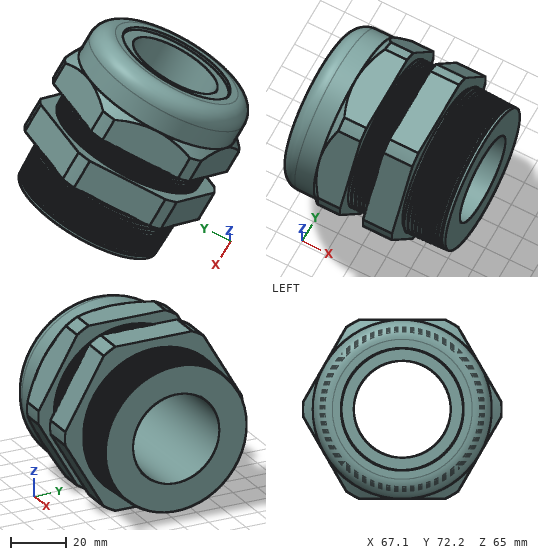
import cadquery as cq
import math


dome_end = 7.1
collar_end = 14.9
cap_end = 27.6
wrench_start = 37.0
wrench_end = 49.0
gland_length = 67.06

across_flats = 65.02
corner_radius = 36.075
collar_radius = across_flats / 2

bore_radius = 17.55
seal_radius = 22.05
seal_pocket_radius = 22.3
seal_recess = 1.0
seal_back = 15.0

thread_pitch = 25.4 / 16
flank_slope = math.tan(math.radians(30))
neck_radius = 28.1

cap_thread_root = 28.85
cap_thread_crest_start = 29.9
cap_thread_crest_end = 29.55
cap_thread_first_groove = 28.25
cap_thread_grooves = 6

entry_thread_root = 28.25
entry_thread_crest_start = 29.4
entry_thread_crest_end = 28.7
entry_thread_first_groove = 51.15
entry_thread_grooves = 10


def revolve_about_x(profile):
    """Revolve a closed (X, radius) profile around the gland axis."""
    return profile.close().revolve(360, (0, 0, 0), (1, 0, 0))


def cylinder(start, end, radius):
    return cq.Workplane("YZ").workplane(offset=start).circle(radius).extrude(end - start)


def hexagon(start, end):
    """Hexagonal prism with flats on top and bottom and turned-down corners."""
    across_corners = across_flats / math.cos(math.pi / 6)
    prism = cq.Workplane("YZ").workplane(offset=start).polygon(6, across_corners).extrude(end - start)
    return prism.intersect(cylinder(start, end, corner_radius))


def dome():
    """Round collar of the cap with a quarter-round front edge."""
    face_radius = collar_radius - dome_end
    arc_offset = dome_end * math.sqrt(0.5)
    profile = (
        cq.Workplane("XY")
        .lineTo(0, face_radius)
        .threePointArc((dome_end - arc_offset, face_radius + arc_offset), (dome_end, collar_radius))
        .lineTo(collar_end, collar_radius)
        .lineTo(collar_end, 0)
    )
    return revolve_about_x(profile)


def cap_hexagon():
    """Hexagon of the cap, its front corners chamfered at 45 degrees from the collar."""
    chamfer_end = collar_end + corner_radius - collar_radius
    envelope = revolve_about_x(
        cq.Workplane("XY")
        .moveTo(collar_end, 0)
        .lineTo(collar_end, collar_radius)
        .lineTo(chamfer_end, corner_radius)
        .lineTo(cap_end, corner_radius)
        .lineTo(cap_end, 0)
    )
    return hexagon(collar_end, cap_end).intersect(envelope)


def thread(start, end, crest_start, crest_end, root, first_groove, groove_count, undercut=False):
    """Threaded length: tapered crests with evenly spaced 60 degree V grooves.

    An undercut starts the thread with a concave quarter round rising from the neck radius.
    """
    taper = (crest_end - crest_start) / (end - start)
    profile = cq.Workplane("XY").moveTo(start, 0)
    if undercut:
        undercut_radius = crest_start - neck_radius
        arc_x = start + undercut_radius * math.sqrt(0.5)
        arc_r = crest_start - undercut_radius * math.sqrt(0.5)
        profile = (
            profile.lineTo(start, neck_radius)
            .threePointArc((arc_x, arc_r), (start + undercut_radius, crest_start))
        )
    else:
        profile = profile.lineTo(start, crest_start)
    for index in range(groove_count):
        groove_x = first_groove + index * thread_pitch
        depth = crest_start + taper * (groove_x - start) - root
        front_half = depth * flank_slope / (1 + taper * flank_slope)
        back_half = depth * flank_slope / (1 - taper * flank_slope)
        profile = (
            profile.lineTo(groove_x - front_half, root + front_half / flank_slope)
            .lineTo(groove_x, root)
            .lineTo(groove_x + back_half, root + back_half / flank_slope)
        )
    return revolve_about_x(profile.lineTo(end, crest_end).lineTo(end, 0))


def make_gland_body():
    body = dome().union(cap_hexagon())
    body = body.union(
        thread(cap_end, wrench_start, cap_thread_crest_start, cap_thread_crest_end,
               cap_thread_root, cap_thread_first_groove, cap_thread_grooves)
    )
    body = body.union(hexagon(wrench_start, wrench_end))
    body = body.union(
        thread(wrench_end, gland_length, entry_thread_crest_start, entry_thread_crest_end,
               entry_thread_root, entry_thread_first_groove, entry_thread_grooves, undercut=True)
    )
    body = body.cut(cylinder(0, gland_length, bore_radius))
    return body.cut(cylinder(0, seal_back, seal_pocket_radius))


def make_seal():
    """Rubber ring set back from the entry face, resting on the pocket floor with a small radial gap."""
    ring = cylinder(seal_recess, seal_back, seal_radius)
    return ring.cut(cylinder(seal_recess, seal_back, bore_radius))


gland_body = make_gland_body()
seal = make_seal()

result = cq.Compound.makeCompound([gland_body.val(), seal.val()])